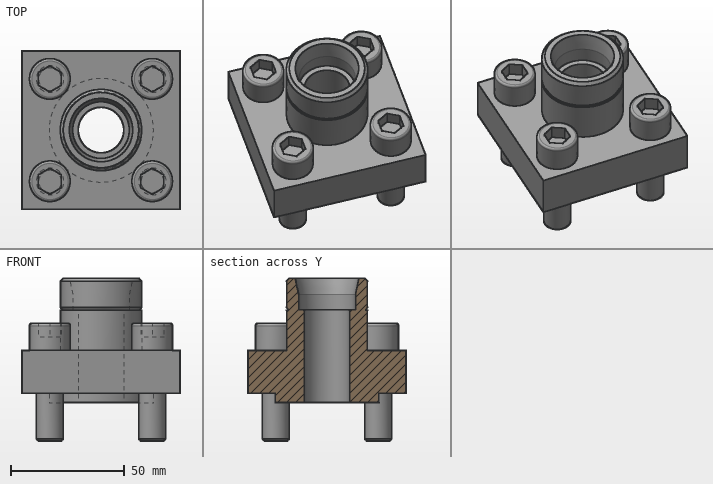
import cadquery as cq

plate_side = 70.0
plate_thickness = 19.0
plate_bottom = 21.0
plate_top = plate_bottom + plate_thickness

screw_spacing = 45.2
shank_diameter = 12.0
shank_chamfer = 1.0
head_diameter = 18.0
head_height = 12.0
head_rounding = 1.0
hex_across_flats = 10.0
hex_depth = 6.0

total_height = 72.0
spigot_diameter = 46.0
spigot_length = 4.0
collar_diameter = 36.0
collar_top_diameter = 33.3
groove_depth = 0.9
groove_top = 59.05
groove_bottom = 57.8

mouth_diameter = 28.0
seat_diameter = 25.0
bore_diameter = 20.0
taper_depth = 7.1
seat_depth = 14.0


def make_plate():
    plate = cq.Workplane("XY").workplane(offset=plate_bottom)
    return plate.rect(plate_side, plate_side).extrude(plate_thickness)


def make_collar():
    """Revolved socket body: spigot below the plate, grooved collar above it."""
    spigot_bottom = plate_bottom - spigot_length
    spigot_radius = spigot_diameter / 2
    collar_radius = collar_diameter / 2
    top_radius = collar_top_diameter / 2
    groove_radius = collar_radius - groove_depth
    top_chamfer = collar_radius - top_radius
    profile = [
        (0, spigot_bottom),
        (spigot_radius, spigot_bottom),
        (spigot_radius, plate_bottom),
        (collar_radius, plate_bottom),
        (collar_radius, groove_bottom),
        (groove_radius, groove_bottom),
        (collar_radius, groove_top),
        (collar_radius, total_height - top_chamfer),
        (top_radius, total_height),
        (0, total_height),
    ]
    return cq.Workplane("XZ").polyline(profile).close().revolve(360, (0, 0), (0, 1))


def make_bore():
    """Through bore with a cylindrical seat and a tapered mouth."""
    seat_radius = seat_diameter / 2
    bore_radius = bore_diameter / 2
    profile = [
        (0, 0),
        (bore_radius, 0),
        (bore_radius, total_height - seat_depth),
        (seat_radius, total_height - seat_depth),
        (seat_radius, total_height - taper_depth),
        (mouth_diameter / 2, total_height),
        (0, total_height),
    ]
    return cq.Workplane("XZ").polyline(profile).close().revolve(360, (0, 0), (0, 1))


def make_screw():
    """Socket head cap screw on the Z axis, its head resting on the plate."""
    shank = cq.Workplane("XY").circle(shank_diameter / 2).extrude(plate_top)
    shank = shank.faces("<Z").chamfer(shank_chamfer)
    head = cq.Workplane("XY").workplane(offset=plate_top)
    head = head.circle(head_diameter / 2).extrude(head_height)
    head = head.faces(">Z").edges().fillet(head_rounding)
    hex_socket = (
        cq.Workplane("XY")
        .workplane(offset=plate_top + head_height - hex_depth)
        .polygon(6, hex_across_flats, circumscribed=True)
        .extrude(hex_depth)
    )
    return shank.union(head).cut(hex_socket)


result = make_plate().union(make_collar()).cut(make_bore())
screw = make_screw()
for x_side in (-1, 1):
    for y_side in (-1, 1):
        position = (x_side * screw_spacing / 2, y_side * screw_spacing / 2, 0)
        result = result.union(screw.translate(position))